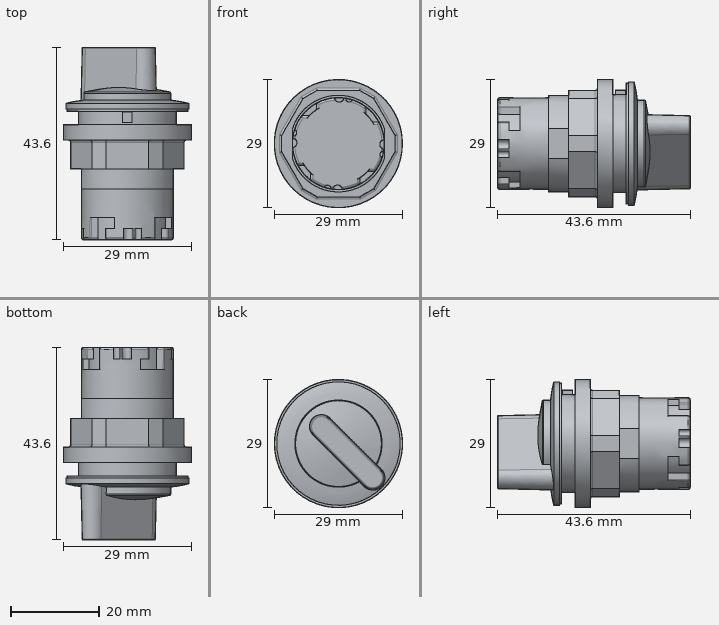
import cadquery as cq
import math


BODY_REAR_DIA = 20.85
BODY_FRONT_DIA = 20.75
BODY_LENGTH = 11.55
RIM_ROUND = 0.55
RIM_CORNER_ROUND = 0.35

NECK_DIA = 21.85
NECK_FLAT_WIDTH = 20.75
NECK_LENGTH = 4.5

NUT_SIDES = 6
NUT_ACROSS_FLATS = 24.05
NUT_ACROSS_CORNERS = 25.65
NUT_LENGTH = 6.5
NUT_FILLET = 0.5

FLANGE_DIA = 29.0
FLANGE_LENGTH = 3.5
COLLAR_DIA = 22.2
COLLAR_LENGTH = 3.0
BEZEL_DIA = 27.9
BEZEL_STEP_DIA = 27.3
BEZEL_STEP_LENGTH = 0.5
BEZEL_RIM_LENGTH = 1.3
BEZEL_CROWN_HEIGHT = 0.75
BEZEL_CROWN_BULGE = 0.08

KEY_WIDTH = 2.1
KEY_LENGTH = 2.35
KEY_FLANGE_GAP = 0.55
KEY_TOP_Z = 12.1

KNOB_DIA = 19.7
KNOB_LENGTH = 1.55
KNOB_EDGE_WIDTH = 0.15
KNOB_EDGE_HEIGHT = 0.3
DOME_HEIGHT = 1.1

TOTAL_LENGTH = 43.55
HANDLE_ANGLE = 45.0
HANDLE_SHORT_REACH = 5.45
HANDLE_LONG_REACH = 10.95
HANDLE_WIDTH = 4.95
HANDLE_TAPER = 1.3
HANDLE_EDGE_ROUND = 0.25

QUADRANTS = 4
POCKET_FLOOR_DIA = 18.25
POCKET_SIDE = 6.3
POCKET_ENTRY_SIDE = 4.9
POCKET_LOCK_SIDE = 2.95
POCKET_DEPTH = 5.05
RIM_NOTCH_DEPTH = 2.6

NOTCH_PITCH_RADIUS = 10.45
LARGE_NOTCH_RADIUS = 1.07
LARGE_NOTCH_ANGLE = 1.0
SMALL_NOTCH_RADIUS = 0.75
SMALL_NOTCH_ANGLE = 13.6

neck_y = BODY_LENGTH
nut_y = neck_y + NECK_LENGTH
flange_y = nut_y + NUT_LENGTH
collar_y = flange_y + FLANGE_LENGTH
bezel_y = collar_y + COLLAR_LENGTH
bezel_rim_y = bezel_y + BEZEL_STEP_LENGTH
bezel_crown_y = bezel_rim_y + BEZEL_RIM_LENGTH
knob_y = bezel_crown_y + BEZEL_CROWN_HEIGHT
knob_edge_y = knob_y + KNOB_LENGTH
dome_y = knob_edge_y + KNOB_EDGE_HEIGHT

OVERSIZE = 2 * FLANGE_DIA
TOLERANCE = 0.01


def section(y):
    """Sketch plane across the axis at y; positive extrusion runs toward the rear."""
    return cq.Workplane("XZ", origin=(0, y, 0))


def cylinder(diameter, y_start, length):
    return section(y_start + length).circle(diameter / 2).extrude(length)


def quadrant_copies(shape):
    copies = shape
    for i in range(1, QUADRANTS):
        copies = copies.union(shape.rotate((0, 0, 0), (0, 1, 0), i * 360 / QUADRANTS))
    return copies


def corner_prism(x_min, z_min, depth, rear):
    """Everything beyond x_min and z_min and outside the pocket floor, from depth back to rear."""
    block = (
        section(depth)
        .rect(OVERSIZE, OVERSIZE, centered=False)
        .extrude(depth - rear)
        .translate((x_min, 0, z_min))
    )
    return block.cut(cylinder(POCKET_FLOOR_DIA, rear, depth - rear))


def make_pocket():
    entry = corner_prism(POCKET_SIDE, POCKET_ENTRY_SIDE, POCKET_DEPTH, 0)
    lock = corner_prism(POCKET_SIDE, POCKET_LOCK_SIDE, POCKET_DEPTH, RIM_NOTCH_DEPTH)
    return entry.union(lock)


def make_notch(radius, angle):
    """Round groove along the rim, turned by angle from +Z toward +X."""
    groove = (
        section(RIM_NOTCH_DEPTH)
        .center(0, NOTCH_PITCH_RADIUS)
        .circle(radius)
        .extrude(RIM_NOTCH_DEPTH)
    )
    return groove.rotate((0, 0, 0), (0, 1, 0), angle)


def is_corner_edge(edge):
    """True for the outer edges of the pocket walls that reach the rear face."""
    box = edge.BoundingBox()
    middle = edge.positionAt(0.5)
    on_outside = math.hypot(middle.x, middle.z) > BODY_FRONT_DIA / 2
    return on_outside and box.ymin < TOLERANCE < box.ymax < POCKET_DEPTH + TOLERANCE


def is_rim_edge(edge):
    """True for rear-face edges other than the pocket floors."""
    middle = edge.positionAt(0.5)
    on_floor = abs(math.hypot(middle.x, middle.z) - POCKET_FLOOR_DIA / 2) < TOLERANCE
    return edge.BoundingBox().ymax < TOLERANCE and not on_floor


def make_body():
    body = (
        cq.Workplane("XY")
        .polyline([(0, 0), (BODY_REAR_DIA / 2, 0), (BODY_FRONT_DIA / 2, BODY_LENGTH), (0, BODY_LENGTH)])
        .close()
        .revolve(360, (0, 0, 0), (0, 1, 0))
    )
    body = body.cut(quadrant_copies(make_pocket()))
    corner_edges = [edge for edge in body.edges().vals() if is_corner_edge(edge)]
    body = body.newObject(corner_edges).fillet(RIM_CORNER_ROUND)
    rim_edges = [edge for edge in body.edges().vals() if is_rim_edge(edge)]
    body = body.newObject(rim_edges).fillet(RIM_ROUND)
    large_notch = make_notch(LARGE_NOTCH_RADIUS, LARGE_NOTCH_ANGLE)
    small_notch = make_notch(SMALL_NOTCH_RADIUS, SMALL_NOTCH_ANGLE)
    return body.cut(quadrant_copies(large_notch)).cut(quadrant_copies(small_notch))


def make_neck():
    flats = section(nut_y).rect(NECK_FLAT_WIDTH, OVERSIZE).extrude(NECK_LENGTH)
    return cylinder(NECK_DIA, neck_y, NECK_LENGTH).intersect(flats)


def hexagon_prism(across_flats, turn):
    prism = section(flange_y).polygon(NUT_SIDES, across_flats, circumscribed=True).extrude(NUT_LENGTH)
    return prism.rotate((0, 0, 0), (0, 1, 0), turn)


def make_nut_and_flange():
    half_side_angle = 180 / NUT_SIDES
    nut = hexagon_prism(NUT_ACROSS_FLATS, half_side_angle).intersect(hexagon_prism(NUT_ACROSS_CORNERS, 0))
    flange = cylinder(FLANGE_DIA, flange_y, FLANGE_LENGTH)
    joint = cq.selectors.BoxSelector(
        (-FLANGE_DIA, flange_y - TOLERANCE, -FLANGE_DIA), (FLANGE_DIA, flange_y + TOLERANCE, FLANGE_DIA)
    )
    return flange.union(nut).edges(joint).edges("%LINE").fillet(NUT_FILLET)


def make_bezel_and_knob():
    knob_radius = KNOB_DIA / 2
    dome_radius = knob_radius - KNOB_EDGE_WIDTH
    sphere_radius = (dome_radius**2 + DOME_HEIGHT**2) / (2 * DOME_HEIGHT)
    arc_x = dome_radius / 2
    arc_y = dome_y + DOME_HEIGHT - sphere_radius + math.sqrt(sphere_radius**2 - arc_x**2)
    crown_x = (BEZEL_DIA / 2 + knob_radius) / 2
    crown_y = (bezel_crown_y + knob_y) / 2 + BEZEL_CROWN_BULGE
    return (
        cq.Workplane("XY")
        .moveTo(0, collar_y)
        .lineTo(COLLAR_DIA / 2, collar_y)
        .lineTo(COLLAR_DIA / 2, bezel_y)
        .lineTo(BEZEL_STEP_DIA / 2, bezel_y)
        .lineTo(BEZEL_STEP_DIA / 2, bezel_rim_y)
        .lineTo(BEZEL_DIA / 2, bezel_rim_y)
        .lineTo(BEZEL_DIA / 2, bezel_crown_y)
        .threePointArc((crown_x, crown_y), (knob_radius, knob_y))
        .lineTo(knob_radius, knob_edge_y)
        .lineTo(dome_radius, dome_y)
        .threePointArc((arc_x, arc_y), (0, dome_y + DOME_HEIGHT))
        .close()
        .revolve(360, (0, 0, 0), (0, 1, 0))
    )


def make_key():
    key_front_y = collar_y + KEY_FLANGE_GAP + KEY_LENGTH
    return (
        section(key_front_y)
        .moveTo(-KEY_WIDTH / 2, 0)
        .rect(KEY_WIDTH, KEY_TOP_Z, centered=False)
        .extrude(KEY_LENGTH)
    )


def make_handle():
    centre_distance = HANDLE_SHORT_REACH + HANDLE_LONG_REACH
    handle = (
        section(TOTAL_LENGTH)
        .center((HANDLE_SHORT_REACH - HANDLE_LONG_REACH) / 2, 0)
        .slot2D(centre_distance + HANDLE_WIDTH, HANDLE_WIDTH)
        .extrude(TOTAL_LENGTH - bezel_crown_y, taper=-HANDLE_TAPER)
        .faces(">Y")
        .edges()
        .fillet(HANDLE_EDGE_ROUND)
    )
    return handle.rotate((0, 0, 0), (0, 1, 0), -HANDLE_ANGLE)


result = (
    make_body()
    .union(make_neck())
    .union(make_nut_and_flange())
    .union(make_bezel_and_knob())
    .union(make_key())
    .union(make_handle())
)